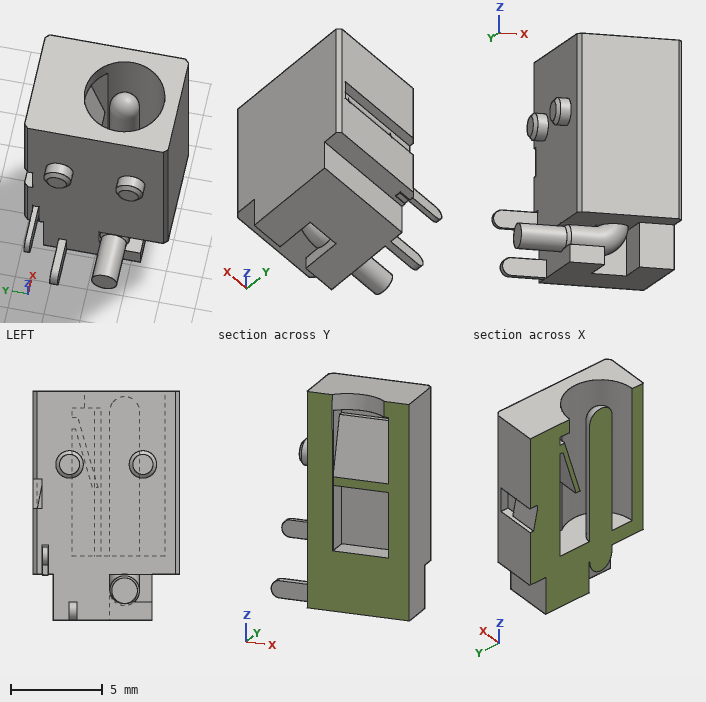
import cadquery as cq
import math


width = 6.0
depth = 8.0
height = 12.5
base_height = 2.5
edge_chamfer = 0.22
base_front = 1.5
base_back = 6.9

socket_x = width / 2
socket_y = 3.0
socket_radius = 2.2
socket_floor = 3.5
pin_radius = 0.81
pin_tip = 12.2
pin_bend_radius = 1.0
pin_tail_z = 1.61
pin_tail_radius = 0.7
pin_shoulder_x = 0.32
pin_shoulder_length = 0.22
lead_length = 2.51

channel_start = width / 3
channel_end = 2 * width / 3
foot_height = 1.0
pocket_bed_z = 1.71

peg_radius = 0.75
peg_length = 0.8
peg_chamfer = 0.2
peg_spacing = depth / 2
peg_z = 8.5

contact_start = 1.52
contact_end = 4.78
contact_window_top = 11.58
contact_top = 11.06
contact_back = 5.88
contact_top_y = 5.55
contact_tip_y = 4.45
contact_tip_z = 7.25
contact_thickness = 0.3

notch_depth = 0.5
notch_bottom = 6.1
notch_top = 7.7
notch_end_wall = 0.5
barb_top = 7.38
barb_reach = 0.26

terminal_height = 1.0
terminal_embed = 0.25
upper_terminal_y = 7.32
upper_terminal_thickness = 0.3
upper_terminal_z = 3.5
lower_terminal_y = 5.82
lower_terminal_thickness = 0.44
lower_terminal_z = terminal_height / 2
slot_clearance = 0.04
slot_length = 0.75
slot_top_gap = 0.1
leg_setback = 0.06
leg_bottom = 2.45


def box(x0, x1, y0, y1, z0, z1):
    return cq.Workplane("XY").box(x1 - x0, y1 - y0, z1 - z0, centered=False).translate((x0, y0, z0))


def rod_along_x(x0, x1, y, z, radius):
    return cq.Workplane("YZ", origin=(x0, y, z)).circle(radius).extrude(x1 - x0)


def prism_along_x(x0, x1, yz_points):
    return cq.Workplane("YZ", origin=(x0, 0, 0)).polyline(yz_points).close().extrude(x1 - x0)


def make_housing():
    upper = box(0, width, 0, depth, base_height, height).edges("|Z").chamfer(edge_chamfer)
    base = box(0, width, base_front, base_back, 0, base_height)
    bore = (
        cq.Workplane("XY", origin=(socket_x, socket_y, socket_floor))
        .circle(socket_radius)
        .extrude(height - socket_floor)
    )
    return upper.union(base).cut(bore)


def make_pin_pocket():
    pocket_back = socket_y + pin_radius
    channel = box(channel_start, channel_end, base_front, pocket_back, 0, base_height)
    foot_step = box(0, channel_start, base_front, socket_y, foot_height, base_height)
    upper_slot = box(0, channel_start, socket_y, pocket_back, pocket_bed_z, base_height)
    round_bed = rod_along_x(0, channel_start, socket_y, pocket_bed_z, pin_radius)
    return channel.union(foot_step).union(upper_slot).union(round_bed)


def make_pin():
    bend_start_x = socket_x - pin_bend_radius
    bend_top_z = pin_tail_z + pin_bend_radius
    dome_z = pin_tip - pin_radius
    upright = (
        cq.Workplane("XY", origin=(socket_x, socket_y, bend_top_z))
        .circle(pin_radius)
        .extrude(dome_z - bend_top_z)
    )
    dome = cq.Workplane("XY").sphere(pin_radius).translate((socket_x, socket_y, dome_z))
    elbow = (
        cq.Workplane("XY", origin=(socket_x, socket_y, bend_top_z))
        .circle(pin_radius)
        .revolve(90, (-pin_bend_radius, 0, 0), (-pin_bend_radius, 1, 0))
    )
    shoulder_start_x = pin_shoulder_x - pin_shoulder_length
    thick_tail = rod_along_x(pin_shoulder_x, bend_start_x, socket_y, pin_tail_z, pin_radius)
    shoulder = (
        cq.Workplane("YZ", origin=(shoulder_start_x, socket_y, pin_tail_z))
        .circle(pin_tail_radius)
        .workplane(offset=pin_shoulder_length)
        .circle(pin_radius)
        .loft()
    )
    thin_tail = rod_along_x(-lead_length, shoulder_start_x, socket_y, pin_tail_z, pin_tail_radius)
    return upright.union(dome).union(elbow).union(thick_tail).union(shoulder).union(thin_tail)


def make_peg(y):
    peg = rod_along_x(-peg_length, 0, y, peg_z, peg_radius)
    return peg.faces("<X").chamfer(peg_chamfer)


def make_contact_pocket():
    return box(contact_start, contact_end, socket_y, contact_back, socket_floor, contact_window_top)


def make_contact():
    slope = math.atan2(contact_top - contact_tip_z, contact_top_y - contact_tip_y)
    thickness_in_y = contact_thickness / math.sin(slope)
    hang_z = contact_top - contact_thickness - (contact_back - contact_top_y)
    hang_y = contact_top_y - (contact_top - hang_z) / math.tan(slope) + thickness_in_y
    leaf = [
        (contact_back, contact_top),
        (contact_top_y, contact_top),
        (contact_tip_y, contact_tip_z),
        (contact_tip_y + thickness_in_y, contact_tip_z),
        (hang_y, hang_z),
        (contact_back, hang_z),
    ]
    return prism_along_x(contact_start, contact_end, leaf)


def make_notch():
    return box(0, width - notch_end_wall, depth - notch_depth, depth, notch_bottom, notch_top)


def make_barb():
    notch_y = depth - notch_depth
    profile = [(notch_y, barb_top), (notch_y, notch_bottom), (notch_y + barb_reach, notch_bottom)]
    return prism_along_x(contact_start, contact_end, profile)


def make_terminal(y, z, thickness, end_x):
    tip_radius = terminal_height / 2
    tip_center_x = tip_radius - lead_length
    return (
        cq.Workplane("XZ", origin=(0, y + thickness / 2, z))
        .moveTo(end_x, tip_radius)
        .lineTo(tip_center_x, tip_radius)
        .threePointArc((-lead_length, 0), (tip_center_x, -tip_radius))
        .lineTo(end_x, -tip_radius)
        .close()
        .extrude(thickness)
    )


def make_terminal_slot():
    half_slot = upper_terminal_thickness / 2 + slot_clearance
    slot_top = upper_terminal_z + terminal_height / 2 + slot_top_gap
    slot_front = upper_terminal_y - half_slot
    slot_back = upper_terminal_y + half_slot
    return box(0, slot_length, slot_front, slot_back, base_height, slot_top)


def make_terminal_leg():
    half_leg = upper_terminal_thickness / 2
    leg_front = upper_terminal_y - half_leg
    leg_back = upper_terminal_y + half_leg
    return box(leg_setback, slot_length, leg_front, leg_back, leg_bottom, upper_terminal_z)


result = make_housing()
for cutter in (make_pin_pocket(), make_contact_pocket(), make_notch(), make_terminal_slot()):
    result = result.cut(cutter)

solids = [
    make_pin(),
    make_contact(),
    make_barb(),
    make_terminal(upper_terminal_y, upper_terminal_z, upper_terminal_thickness, slot_length),
    make_terminal(lower_terminal_y, lower_terminal_z, lower_terminal_thickness, terminal_embed),
    make_terminal_leg(),
]
for side in (-1, 1):
    solids.append(make_peg(depth / 2 + side * peg_spacing / 2))
for solid in solids:
    result = result.union(solid)